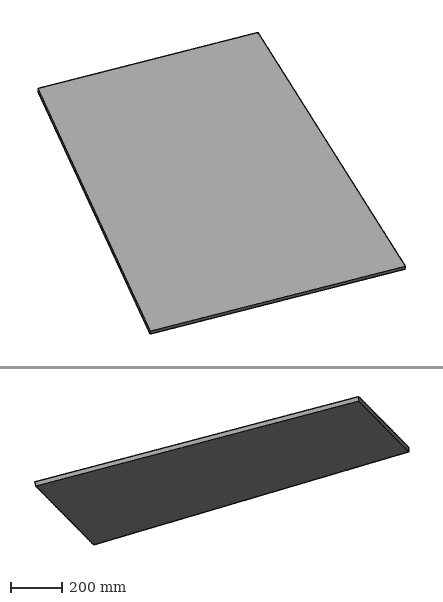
import cadquery as cq
import math

width = 1380.0
depth = 1146.0
low_front_y = 73.0
high_front_x = 108.0
high_back_y = 925.0

thickness = 18.0
drop = 297.0

lean = math.atan2(high_front_x, high_back_y)
low_back_x = width - (depth - low_front_y) * math.tan(lean)

run = (width - high_front_x) * math.cos(lean) + low_front_y * math.sin(lean)
slope = math.atan2(drop, run)
height = drop + thickness * math.cos(slope)


def make_plan_prism():
    """Upright block with the panel's plan outline."""
    corners = [
        (high_front_x, 0),
        (width, low_front_y),
        (low_back_x, depth),
        (0, high_back_y),
    ]
    return cq.Workplane("XY").polyline(corners).close().extrude(height)


def make_sloping_slab():
    """Slab with an upright high end and a low end square to its faces."""
    section = [
        (0, height),
        (run, height - drop),
        (run - thickness * math.sin(slope), 0),
        (0, height - thickness / math.cos(slope)),
    ]
    section_plane = cq.Plane(
        origin=(high_front_x, 0, 0),
        xDir=(math.cos(lean), math.sin(lean), 0),
        normal=(math.sin(lean), -math.cos(lean), 0),
    )
    slab_reach = 2 * depth
    return cq.Workplane(section_plane).polyline(section).close().extrude(slab_reach, both=True)


result = make_plan_prism().intersect(make_sloping_slab())